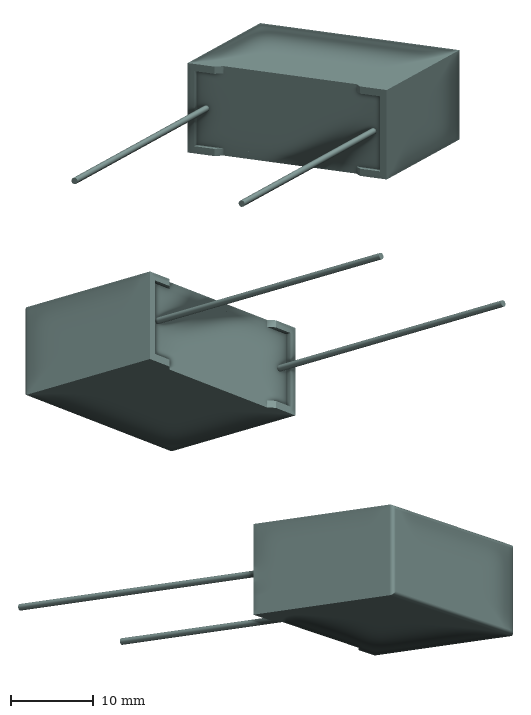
import cadquery as cq


width = 26.8
length = 20.1
height = 11.21
wall = 0.9
back_edge_radius = 0.5

foot_width = 3.6
relief_depth = 0.7
relief_slope_run = 0.85

lead_diameter = 0.8
lead_spacing = 22.5
lead_projection = 35.0

cavity_width = width - 2 * wall
cavity_height = height - 2 * wall
cavity_end = length - wall
potting_face = relief_depth


def centred_block(size_x, size_z, y_start, y_end):
    """Block centred on the Y axis, spanning y_start to y_end."""
    block = cq.Workplane("XY").box(size_x, y_end - y_start, size_z, centered=(True, False, True))
    return block.translate((0, y_start, 0))


def make_rim_relief():
    """Trapezoidal prism that cuts both wide walls back between the feet."""
    mouth_half = width / 2 - foot_width
    floor_half = mouth_half - relief_slope_run
    return (
        cq.Workplane("XY")
        .polyline([
            (-mouth_half, 0),
            (mouth_half, 0),
            (floor_half, relief_depth),
            (-floor_half, relief_depth),
        ])
        .close()
        .extrude(height / 2, both=True)
    )


def make_housing():
    """Cup with a rounded closed end and a relieved rim."""
    shell = centred_block(width, height, 0, length)
    shell = shell.faces(">Y").edges().fillet(back_edge_radius)
    cavity = centred_block(cavity_width, cavity_height, 0, cavity_end)
    return shell.cut(cavity).cut(make_rim_relief())


def make_potting():
    """Filling of the cavity, flush with the floor of the rim relief."""
    return centred_block(cavity_width, cavity_height, potting_face, cavity_end)


def make_lead(x):
    """Round wire standing on the potting face and running towards -Y."""
    lead_length = lead_projection + potting_face
    wire = cq.Workplane("XZ").circle(lead_diameter / 2).extrude(lead_length)
    return wire.translate((x, potting_face, 0))


housing = make_housing()
potting = make_potting()
leads = [make_lead(side * lead_spacing / 2) for side in (-1, 1)]

result = cq.Compound.makeCompound([
    housing.val(),
    potting.val(),
    *[lead.val() for lead in leads],
])